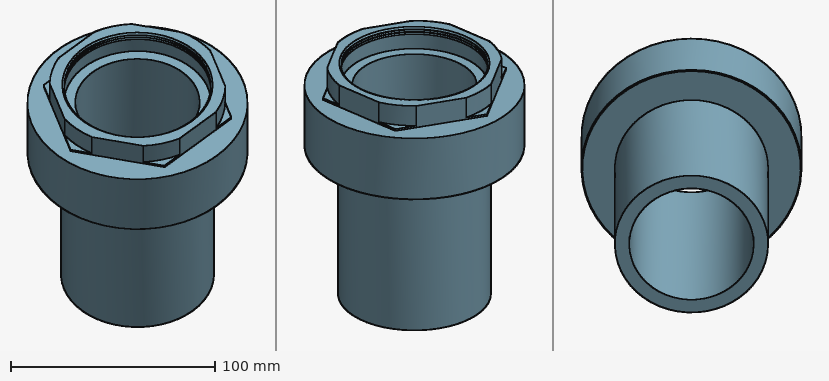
import cadquery as cq
import math

total_height = 129.0
tube_diameter = 75.2
collar_diameter = 108.0
collar_bottom = 82.3
collar_top = 116.9
collar_edge_chamfer = 0.5

hex_across_flats = 82.0
hex_across_corners = hex_across_flats / math.cos(math.radians(30))
hex_plate_top = 117.9
turned_diameter = 86.0

bore_diameter = 61.0
socket_diameter = 72.0
socket_depth = 11.9
mouth_diameter = 73.8
mouth_chamfer = (mouth_diameter - socket_diameter) / 2

groove_count = 2
groove_width = 1.4


def cylinder(diameter, bottom, top):
    return cq.Workplane("XY").workplane(offset=bottom).circle(diameter / 2).extrude(top - bottom)


def hexagon(bottom, top):
    """Hexagonal prism with one pair of flats facing +X and -X."""
    prism = (
        cq.Workplane("XY")
        .workplane(offset=bottom)
        .polygon(6, hex_across_corners)
        .extrude(top - bottom)
    )
    return prism.rotate((0, 0, 0), (0, 0, 1), 30)


def socket_cutter():
    """Revolved cutter for the socket, its grooves and its chamfered mouth."""
    socket_radius = socket_diameter / 2
    groove_depth = groove_width / 2
    chamfer_bottom = total_height - mouth_chamfer

    outline = [(0, total_height), (mouth_diameter / 2, total_height), (socket_radius, chamfer_bottom)]
    for index in range(groove_count):
        groove_top = chamfer_bottom - index * groove_width
        outline.append((socket_radius + groove_depth, groove_top - groove_width / 2))
        outline.append((socket_radius, groove_top - groove_width))

    socket_floor = total_height - socket_depth
    outline.append((socket_radius, socket_floor))
    outline.append((0, socket_floor))
    return cq.Workplane("XZ").polyline(outline).close().revolve(360, (0, 0, 0), (0, 1, 0))


tube = cylinder(tube_diameter, 0, collar_top)
collar = cylinder(collar_diameter, collar_bottom, collar_top).faces("<Z").chamfer(collar_edge_chamfer)
hex_plate = hexagon(collar_top, hex_plate_top)
turned_head = hexagon(hex_plate_top, total_height).intersect(
    cylinder(turned_diameter, hex_plate_top, total_height)
)

bore = cylinder(bore_diameter, 0, total_height)

result = tube.union(collar).union(hex_plate).union(turned_head).cut(bore).cut(socket_cutter())